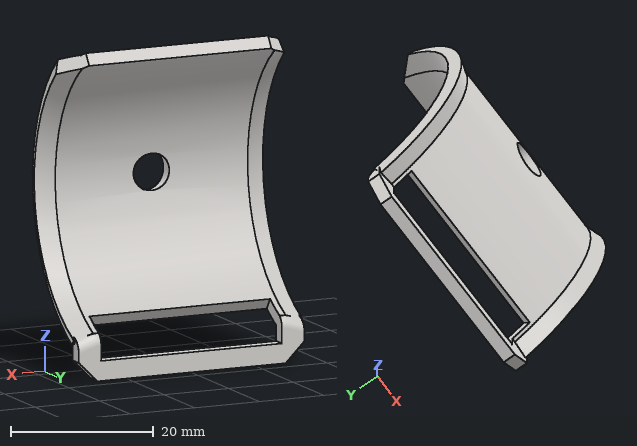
import cadquery as cq
import math

thickness = 2.0
outer_radius = 23.8
inner_radius = outer_radius - thickness
axis_y = 8.65
axis_z = 26.4
top_angle = 55.5

flare_start = 14.6
flare_angle = 18.0
rim_half_width = 17.7
corner_cut = 3.0

plate_half_width = 17.5
plate_chamfer = 2.9
slot_half_width = 14.0
slot_bottom = 2.9
slot_end_angle = 55.0

hole_diameter = 5.5
hole_z = 26.2

flare_tan = math.tan(math.radians(flare_angle))
rim_outer_x = rim_half_width - thickness * math.sin(math.radians(flare_angle))
rim_outer_radius = outer_radius + (rim_outer_x - flare_start) * flare_tan
rim_inner_radius = rim_outer_radius - thickness * math.cos(math.radians(flare_angle))
inner_flare_start = rim_half_width - (rim_inner_radius - inner_radius) / flare_tan

plate_front = -thickness
axis_to_front = axis_y - plate_front
band_bend_z = axis_z - math.sqrt(outer_radius**2 - axis_to_front**2)
rim_bend_z = axis_z - math.sqrt(rim_outer_radius**2 - axis_to_front**2)
bottom_angle = math.degrees(math.acos(axis_to_front / rim_outer_radius))


def make_arc():
    """Revolve the flared cross-section about the X-parallel arc axis."""
    right_half = [
        (flare_start, outer_radius),
        (rim_outer_x, rim_outer_radius),
        (rim_half_width, rim_inner_radius),
        (inner_flare_start, inner_radius),
    ]
    left_half = [(-x, radius) for x, radius in reversed(right_half)]
    section = [(x, -radius) for x, radius in right_half + left_half]
    arc = (
        cq.Workplane("XY")
        .polyline(section)
        .close()
        .revolve(top_angle + bottom_angle, (0, 0, 0), (1, 0, 0))
    )
    arc = arc.rotate((0, 0, 0), (1, 0, 0), -top_angle)
    return arc.translate((0, axis_y, axis_z))


def make_corner_cutters():
    """Triangular prisms crossing the sheet at both corners of the upper end."""
    angle = math.radians(top_angle)
    radial = cq.Vector(0, -math.cos(angle), math.sin(angle))
    end_point = cq.Vector(0, axis_y, axis_z) + radial * outer_radius
    end_plane = cq.Plane(origin=end_point.toTuple(), xDir=(1, 0, 0), normal=radial.toTuple())
    start_x = rim_outer_x - corner_cut
    reach = 3 * corner_cut
    cutter = (
        cq.Workplane(end_plane)
        .polyline([(start_x, 0), (start_x + reach, -reach), (start_x + reach, 0)])
        .close()
        .extrude(2 * thickness, both=True)
    )
    return cutter.union(cutter.mirror("YZ"))


def make_plate():
    """Flat plate whose upper edge follows the bend line."""
    right_half = [
        (plate_half_width - plate_chamfer, 0),
        (plate_half_width, plate_chamfer),
        (plate_half_width, rim_bend_z),
        (flare_start, band_bend_z),
    ]
    left_half = [(-x, z) for x, z in reversed(right_half)]
    return cq.Workplane("XZ").polyline(right_half + left_half).close().extrude(thickness)


def make_bend():
    """Round the back of the bend about the front crease, which slopes down in the rims."""
    crease = cq.Vector(plate_half_width - flare_start, 0, rim_bend_z - band_bend_z)
    band = cq.Workplane("YZ").center(plate_front, band_bend_z).circle(thickness)
    bend = band.extrude(flare_start, both=True)
    rim = cq.Workplane(
        cq.Solid.makeCylinder(
            thickness, crease.Length, cq.Vector(flare_start, plate_front, band_bend_z), crease
        )
    )
    joint = cq.Workplane("XY", origin=(flare_start, plate_front, band_bend_z)).sphere(thickness)
    rim = rim.union(joint)
    bend = bend.union(rim).union(rim.mirror("YZ"))
    behind_front = (
        cq.Workplane("XY")
        .box(2 * plate_half_width, thickness, axis_z, centered=(True, False, False))
        .translate((0, plate_front, plate_chamfer))
    )
    return bend.intersect(behind_front)


def make_slot():
    """Opening from the plate, around the bend, to a radial end face on the arc."""
    angle = math.radians(slot_end_angle)
    reach = outer_radius + 2 * thickness
    outline = [
        (axis_y, axis_z),
        (axis_y - reach * math.cos(angle), axis_z - reach * math.sin(angle)),
        (axis_y - reach * math.cos(angle), slot_bottom),
        (axis_y, slot_bottom),
    ]
    return cq.Workplane("YZ").polyline(outline).close().extrude(slot_half_width, both=True)


def make_hole():
    """Hole with radial walls, so its height grows with distance from the arc axis."""
    middle_radius = (inner_radius + outer_radius) / 2
    near = middle_radius - thickness
    far = middle_radius + thickness
    half_width = hole_diameter / 2
    return (
        cq.Workplane("XZ", origin=(0, axis_y - near, hole_z))
        .ellipse(half_width, half_width * near / middle_radius)
        .workplane(offset=far - near)
        .ellipse(half_width, half_width * far / middle_radius)
        .loft(ruled=True)
    )


shell = make_arc().cut(make_corner_cutters())
body = shell.union(make_plate()).union(make_bend())
result = body.cut(make_slot()).cut(make_hole())